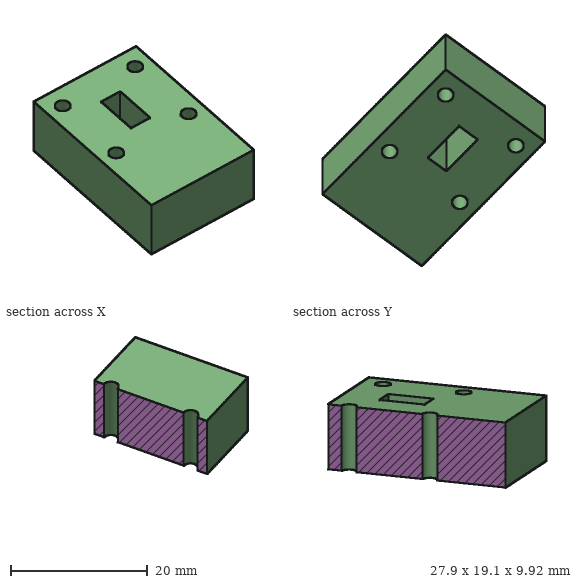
import cadquery as cq

length = 27.95
width = 19.05
height = 9.92

opening_length = 7.1
opening_width = opening_length / 2
opening_from_left = 9.67

hole_diameter = 2.3
hole_spacing_x = 12.68
hole_spacing_y = 13.47

block = cq.Workplane("XY").box(length, width, height)

opening_x = opening_from_left - length / 2
port_plane = block.faces(">Z").workplane().center(opening_x, 0)

opening = port_plane.rect(opening_length, opening_width).extrude(-height, combine=False)
bolt_holes = (
    port_plane.rect(hole_spacing_x, hole_spacing_y, forConstruction=True)
    .vertices()
    .circle(hole_diameter / 2)
    .extrude(-height, combine=False)
)

result = block.cut(opening).cut(bolt_holes)